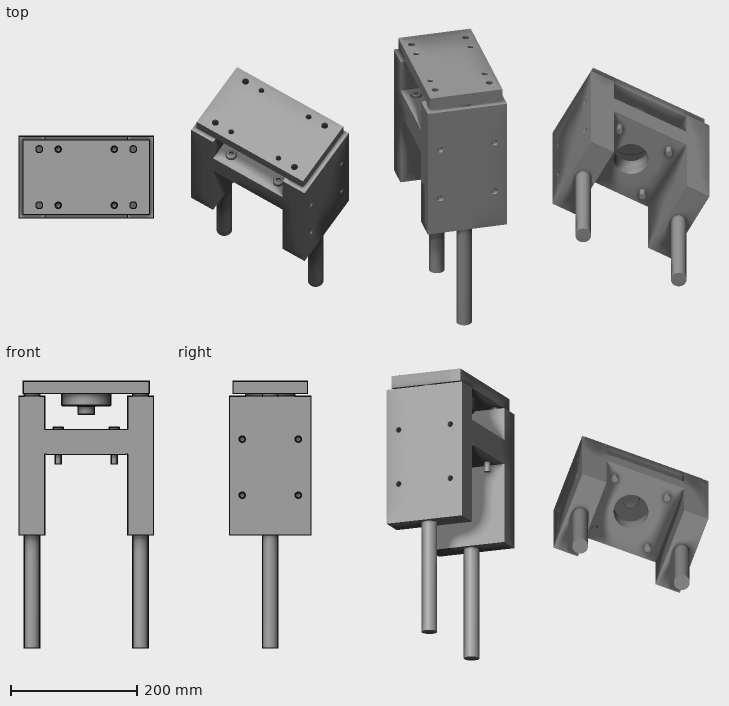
import cadquery as cq
import math

TOTAL_HEIGHT = 423.0

HOUSING_LENGTH = 213.0
HOUSING_DEPTH = 130.0
HOUSING_HEIGHT = 220.0
LEG_WIDTH = 41.0
BRIDGE_THICKNESS = 40.0
BRIDGE_DROP = 52.5

PLATE_LENGTH = 200.0
PLATE_DEPTH = 118.5
PLATE_THICKNESS = 20.0
PLATE_GAP = 4.0
ROD_DIAMETER = 25.0
ROD_SPACING = 171.7
HUB_DIAMETER = 78.0
HUB_HEIGHT = 19.5
HUB_CHAMFER = 1.3
STUB_DIAMETER = 26.2
COLLAR_DIAMETER = 27.5
COLLAR_HEIGHT = 1.0
STUB_LENGTH = 13.5
STUB_CHAMFER = 1.0

BOLT_PITCH = 89.0
PLATE_HOLE_DIAMETER = 11.0
PLATE_HOLE_SPACING = 149.0
TAPPED_DIAMETER = 8.5
TAPPED_MOUTH_DIAMETER = 10.0
TAPPED_DEPTH = 15.0
DRILL_POINT_ANGLE = 118.0
SIDE_HOLE_DROP = 112.5

SCREW_DIAMETER = 10.0
SCREW_HEAD_DIAMETER = 16.0
SCREW_HEAD_HEIGHT = SCREW_DIAMETER
SCREW_HEAD_PROTRUSION = 4.0
SCREW_HEAD_CHAMFER = 1.3
SCREW_TIP_PROTRUSION = 15.2
SOCKET_WIDTH = 8.0
SOCKET_DEPTH = 5.0

BRIDGE_BORE_DIAMETER = 55.0
COUNTERBORE_DIAMETER = 18.0
RELIEF_WIDTH = 2.5
RELIEF_HEIGHT = 1.0

PLATE_BOTTOM = TOTAL_HEIGHT - PLATE_THICKNESS
HOUSING_TOP = PLATE_BOTTOM - PLATE_GAP
HOUSING_BOTTOM = HOUSING_TOP - HOUSING_HEIGHT
BRIDGE_TOP = HOUSING_TOP - BRIDGE_DROP
BRIDGE_BOTTOM = BRIDGE_TOP - BRIDGE_THICKNESS
HUB_BOTTOM = PLATE_BOTTOM - HUB_HEIGHT
STUB_BOTTOM = HUB_BOTTOM - STUB_LENGTH
SIDE_HOLE_CENTER_Z = HOUSING_TOP - SIDE_HOLE_DROP
SCREW_SEAT = BRIDGE_TOP + SCREW_HEAD_PROTRUSION - SCREW_HEAD_HEIGHT
SCREW_TIP = BRIDGE_BOTTOM - SCREW_TIP_PROTRUSION


def square_pattern():
    """Corner offsets of the square bolt pattern."""
    half = BOLT_PITCH / 2
    return [(a, b) for a in (-half, half) for b in (-half, half)]


def cylinder(diameter, bottom, top, x=0, y=0):
    """Vertical cylinder between two heights."""
    return cq.Workplane("XY", origin=(x, y, bottom)).circle(diameter / 2).extrude(top - bottom)


def tapped_hole(position, direction):
    """Cutter for a blind hole with a chamfered mouth and a drill-point bottom."""
    core_radius = TAPPED_DIAMETER / 2
    mouth_radius = TAPPED_MOUTH_DIAMETER / 2
    mouth_depth = mouth_radius - core_radius
    point_depth = core_radius / math.tan(math.radians(DRILL_POINT_ANGLE / 2))
    profile = [
        (0, 0),
        (mouth_radius, 0),
        (core_radius, mouth_depth),
        (core_radius, TAPPED_DEPTH),
        (0, TAPPED_DEPTH + point_depth),
    ]
    sideways = cq.Vector(0, 1, 0)
    plane = cq.Plane(origin=position, xDir=sideways, normal=sideways.cross(cq.Vector(*direction)))
    return cq.Workplane(plane).polyline(profile).close().revolve(360, (0, 0), (0, 1))


def make_housing():
    housing = cq.Workplane("XY", origin=(0, 0, HOUSING_BOTTOM)).box(
        HOUSING_LENGTH, HOUSING_DEPTH, HOUSING_HEIGHT, centered=(True, True, False)
    )
    inner_width = HOUSING_LENGTH - 2 * LEG_WIDTH

    for bottom, top in ((BRIDGE_TOP, HOUSING_TOP), (HOUSING_BOTTOM, BRIDGE_BOTTOM)):
        opening = cq.Workplane("XY", origin=(0, 0, bottom)).box(
            inner_width, HOUSING_DEPTH, top - bottom, centered=(True, True, False)
        )
        housing = housing.cut(opening)

    for side in (-1, 1):
        relief_x = side * (inner_width - RELIEF_WIDTH) / 2
        relief = cq.Workplane("XY", origin=(relief_x, 0, BRIDGE_BOTTOM)).box(
            RELIEF_WIDTH, HOUSING_DEPTH, RELIEF_HEIGHT, centered=(True, True, False)
        )
        housing = housing.cut(relief)

        housing = housing.cut(cylinder(ROD_DIAMETER, HOUSING_BOTTOM, HOUSING_TOP, side * ROD_SPACING / 2))

        for y, z_offset in square_pattern():
            position = (side * HOUSING_LENGTH / 2, y, SIDE_HOLE_CENTER_Z + z_offset)
            housing = housing.cut(tapped_hole(position, (-side, 0, 0)))

    housing = housing.cut(cylinder(BRIDGE_BORE_DIAMETER, BRIDGE_BOTTOM, BRIDGE_TOP))

    for x, y in square_pattern():
        housing = housing.cut(cylinder(COUNTERBORE_DIAMETER, SCREW_SEAT, BRIDGE_TOP, x, y))
        housing = housing.cut(cylinder(SCREW_DIAMETER, BRIDGE_BOTTOM, SCREW_SEAT, x, y))
    return housing


def make_carriage():
    plate = cq.Workplane("XY", origin=(0, 0, PLATE_BOTTOM)).box(
        PLATE_LENGTH, PLATE_DEPTH, PLATE_THICKNESS, centered=(True, True, False)
    )
    plate = (
        plate.faces(">Z")
        .workplane(origin=(0, 0, TOTAL_HEIGHT))
        .rarray(PLATE_HOLE_SPACING, BOLT_PITCH, 2, 2)
        .hole(PLATE_HOLE_DIAMETER)
    )
    for x, y in square_pattern():
        plate = plate.cut(tapped_hole((x, y, TOTAL_HEIGHT), (0, 0, -1)))

    hub = cylinder(HUB_DIAMETER, HUB_BOTTOM, PLATE_BOTTOM).faces("<Z").chamfer(HUB_CHAMFER)
    collar = cylinder(COLLAR_DIAMETER, HUB_BOTTOM - COLLAR_HEIGHT, HUB_BOTTOM)
    stub = cylinder(STUB_DIAMETER, STUB_BOTTOM, HUB_BOTTOM).faces("<Z").chamfer(STUB_CHAMFER)
    carriage = plate.union(hub).union(collar).union(stub)

    for side in (-1, 1):
        carriage = carriage.union(cylinder(ROD_DIAMETER, 0, PLATE_BOTTOM, side * ROD_SPACING / 2))
    return carriage


def make_screw(x, y):
    head_top = BRIDGE_TOP + SCREW_HEAD_PROTRUSION
    head = cylinder(SCREW_HEAD_DIAMETER, SCREW_SEAT, head_top, x, y).faces(">Z").chamfer(SCREW_HEAD_CHAMFER)
    shank = cylinder(SCREW_DIAMETER, SCREW_TIP, SCREW_SEAT, x, y)
    socket = (
        cq.Workplane("XY", origin=(x, y, head_top))
        .polygon(6, SOCKET_WIDTH, circumscribed=True)
        .extrude(-SOCKET_DEPTH)
    )
    return head.union(shank).cut(socket)


housing = make_housing()
carriage = make_carriage()
screws = [make_screw(x, y).val() for x, y in square_pattern()]

result = cq.Compound.makeCompound([housing.val(), carriage.val(), *screws])